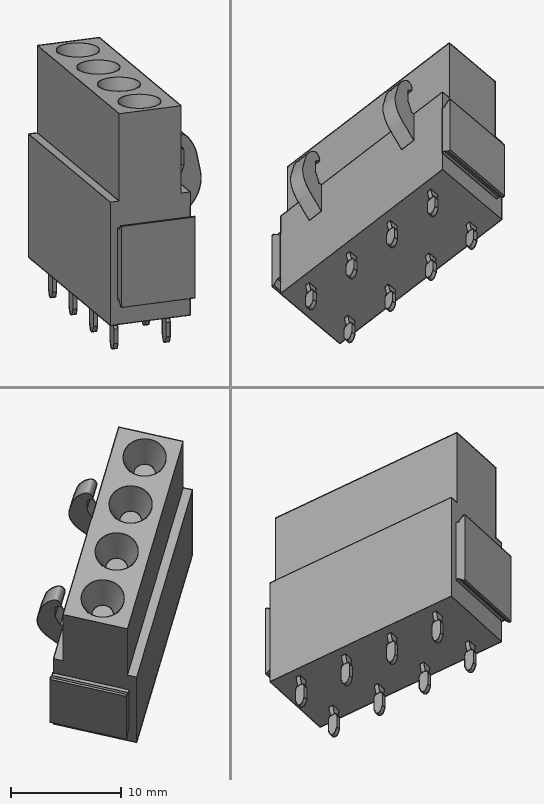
import cadquery as cq


overall_height = 23.45

contact_count = 4
contact_pitch = 5.1
row_pitch = contact_pitch

block_length = 20.3
block_depth = 7.8
block_height = 11.85
housing_height = 20.24
tower_back_step = 0.9
tower_front_step = 0.87

entry_top_diameter = 3.92
entry_bottom_diameter = entry_top_diameter / 2
entry_depth = 2.9
entry_y = -0.07

rail_reach = 1.0
rail_neck_reach = 0.3
rail_rim = 0.2
rail_flare = 0.5
rail_width = 7.18
rail_overhang = 0.07
rail_bottom = 1.97
rail_top = 9.75

hook_width = 1.52
hook_spacing = 11.58
hook_root_height = 7.8
hook_foot_reach = 0.28
hook_throat_reach = 0.77
hook_throat_bottom = 13.09
hook_throat_top = 14.6

hook_undercut_middle = (0.59, 14.95)
hook_lip = (0.23, 15.22)
hook_nose_middle = (0.25, 15.69)
hook_nose = (0.47, 16.05)
hook_crown_middle = (0.68, 16.13)
hook_crown = (0.9, 16.06)
hook_brow = (1.2, 15.78)
hook_shoulder_middle = (1.66, 15.1)
hook_shoulder = (2.02, 14.25)
hook_belly_top = (2.42, 12.3)
hook_belly_middle = (2.32, 10.72)
hook_belly_bottom = (1.52, 9.3)

neck_height = 0.87
neck_width = 0.45
neck_root_depth = 0.94
neck_bulge = 0.05
blade_width = 0.95
blade_thickness = 0.42
blade_shoulder_width = 0.68
blade_shoulder_height = 0.3
taper_start = 2.55
taper_end = 2.98
taper_width = 0.63
pin_length = overall_height - housing_height

block_back = block_depth / 2
block_front = -block_depth / 2
tower_back = block_back - tower_back_step
tower_front = block_front + tower_front_step
contact_xs = [(i - (contact_count - 1) / 2) * contact_pitch for i in range(contact_count)]
row_ys = [-row_pitch / 2, row_pitch / 2]


def make_stepped_block():
    """Block with the tower set back from its front and back faces."""
    profile = [
        (block_front, 0),
        (block_back, 0),
        (block_back, block_height),
        (tower_back, block_height),
        (tower_back, housing_height),
        (tower_front, housing_height),
        (tower_front, block_height),
        (block_front, block_height),
    ]
    return cq.Workplane("YZ").polyline(profile).close().extrude(block_length / 2, both=True)


def make_entry(x):
    """Cone that is cut from the top of the tower, with a flat floor."""
    return (
        cq.Workplane("XY", origin=(x, entry_y, housing_height))
        .circle(entry_top_diameter / 2)
        .workplane(offset=-entry_depth)
        .circle(entry_bottom_diameter / 2)
        .loft()
    )


def make_rail(side):
    """Dovetail rail on one end of the block; side is -1 or 1 along X."""
    root_x = side * block_length / 2
    neck_x = root_x + side * rail_neck_reach
    tip_x = root_x + side * rail_reach
    rim_x = tip_x - side * rail_rim
    profile = [
        (root_x, rail_bottom + rail_flare),
        (neck_x, rail_bottom + rail_flare),
        (rim_x, rail_bottom),
        (tip_x, rail_bottom),
        (tip_x, rail_top),
        (rim_x, rail_top),
        (neck_x, rail_top - rail_flare),
        (root_x, rail_top - rail_flare),
    ]
    rail_back = block_back + rail_overhang
    return cq.Workplane("XZ", origin=(0, rail_back, 0)).polyline(profile).close().extrude(rail_width)


def make_hook(x):
    """Curved latch hook on the back face, outlined from its foot up the inside and down the outside."""
    return (
        cq.Workplane("YZ", origin=(x, block_back, 0))
        .moveTo(0, hook_root_height)
        .lineTo(0, block_height)
        .lineTo(hook_foot_reach, block_height)
        .lineTo(hook_throat_reach, hook_throat_bottom)
        .lineTo(hook_throat_reach, hook_throat_top)
        .threePointArc(hook_undercut_middle, hook_lip)
        .threePointArc(hook_nose_middle, hook_nose)
        .threePointArc(hook_crown_middle, hook_crown)
        .lineTo(*hook_brow)
        .threePointArc(hook_shoulder_middle, hook_shoulder)
        .lineTo(*hook_belly_top)
        .threePointArc(hook_belly_middle, hook_belly_bottom)
        .close()
        .extrude(hook_width / 2, both=True)
    )


def make_housing():
    body = make_stepped_block()
    for side in (-1, 1):
        body = body.union(make_rail(side))
        body = body.union(make_hook(side * hook_spacing / 2))
    for x in contact_xs:
        body = body.cut(make_entry(x))
    return body


def make_pin_neck():
    """Neck under the housing, bulging slightly as it narrows in Y down to the blade thickness."""
    root = neck_root_depth / 2
    end = blade_thickness / 2
    middle = ((root + end) / 2 + neck_bulge, -neck_height / 2)
    return (
        cq.Workplane("YZ")
        .moveTo(-root, 0)
        .lineTo(root, 0)
        .threePointArc(middle, (end, -neck_height))
        .lineTo(-end, -neck_height)
        .threePointArc((-middle[0], middle[1]), (-root, 0))
        .close()
        .extrude(neck_width / 2, both=True)
    )


def make_pin_blade():
    """Flat blade with bevelled shoulders, a tapered lower end and a round tip."""
    shoulder_bottom = -neck_height - blade_shoulder_height
    return (
        cq.Workplane("XZ")
        .moveTo(-blade_shoulder_width / 2, -neck_height)
        .lineTo(blade_shoulder_width / 2, -neck_height)
        .lineTo(blade_width / 2, shoulder_bottom)
        .lineTo(blade_width / 2, -taper_start)
        .lineTo(taper_width / 2, -taper_end)
        .threePointArc((0, -pin_length), (-taper_width / 2, -taper_end))
        .lineTo(-blade_width / 2, -taper_start)
        .lineTo(-blade_width / 2, shoulder_bottom)
        .close()
        .extrude(blade_thickness / 2, both=True)
    )


def make_pin(x, y):
    return make_pin_neck().union(make_pin_blade()).translate((x, y, 0))


housing = make_housing()
pins = [make_pin(x, y) for x in contact_xs for y in row_ys]

result = cq.Compound.makeCompound([housing.val(), *[pin.val() for pin in pins]])